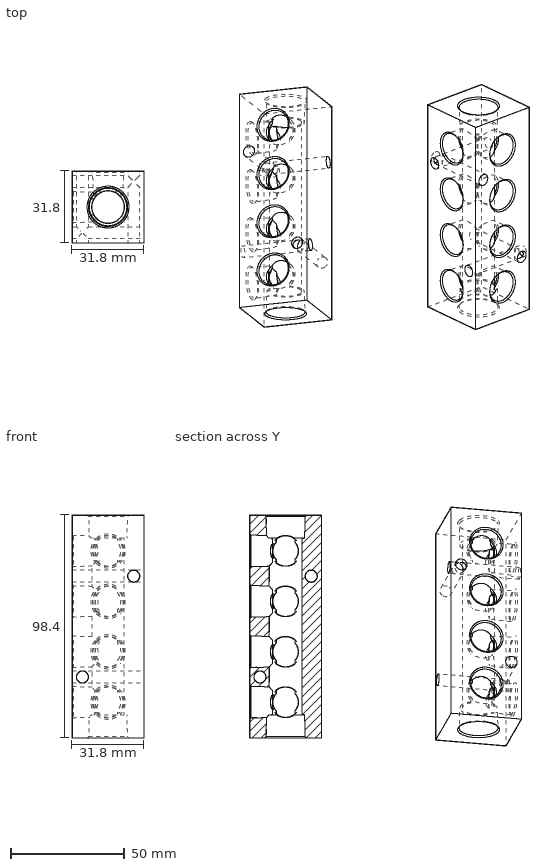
import cadquery as cq

LENGTH = 98.4
WIDTH = 31.8
HALF_LENGTH = LENGTH / 2
HALF_WIDTH = WIDTH / 2

END_PORT_DEPTH = 10.2
SIDE_PORT_DEPTH = 10.0
TAPER_RATIO = 1 / 16
MAIN_BORE_DIAMETER = 14.3
END_MOUTH_DIAMETER = 18.5
END_SOCKET_DIAMETER = 17.1
SIDE_PILOT_DIAMETER = 11.2
SIDE_MOUTH_DIAMETER = 15.2
SIDE_SOCKET_DIAMETER = 13.8

SIDE_PORT_COUNT = 4
SIDE_PORT_PITCH = 22.2
MOUNT_DIAMETER = 5.2
MOUNT_OFFSET = 11.3


def pipe_port(mouth_diameter, socket_diameter, depth):
    """Port cutter with its mouth at the origin, running down along -Z."""
    mouth_radius = mouth_diameter / 2
    socket_radius = socket_diameter / 2
    chamfer = mouth_radius - socket_radius
    floor_radius = socket_radius - (depth - chamfer) * TAPER_RATIO / 2
    profile = (
        cq.Workplane("XZ")
        .moveTo(0, 0)
        .lineTo(mouth_radius, 0)
        .lineTo(socket_radius, -chamfer)
        .lineTo(floor_radius, -depth)
        .lineTo(0, -depth)
        .close()
    )
    return profile.revolve(360, (0, 0, 0), (0, 1, 0))


def main_passage():
    """Bore through the full length with a pipe port at each end."""
    bore = cq.Workplane("XY").circle(MAIN_BORE_DIAMETER / 2).extrude(HALF_LENGTH, both=True)
    top_port = pipe_port(END_MOUTH_DIAMETER, END_SOCKET_DIAMETER, END_PORT_DEPTH)
    top_port = top_port.translate((0, 0, HALF_LENGTH))
    bottom_port = top_port.mirror("XY")
    return bore.union(top_port).union(bottom_port)


def side_port_pair(height):
    """Pipe ports in the -X and +Y faces whose pilot holes open into the main bore."""
    pilot = cq.Workplane("XY").circle(SIDE_PILOT_DIAMETER / 2).extrude(-HALF_WIDTH)
    port = pipe_port(SIDE_MOUTH_DIAMETER, SIDE_SOCKET_DIAMETER, SIDE_PORT_DEPTH).union(pilot)
    left_port = port.rotate((0, 0, 0), (0, 1, 0), -90).translate((-HALF_WIDTH, 0, height))
    back_port = left_port.rotate((0, 0, 0), (0, 0, 1), -90)
    return left_port.union(back_port)


def mounting_hole(plane, offset, height):
    """Through hole across the block, normal to the given plane."""
    hole = cq.Workplane(plane).circle(MOUNT_DIAMETER / 2).extrude(HALF_WIDTH, both=True)
    if plane == "XZ":
        return hole.translate((offset, 0, height))
    return hole.translate((0, offset, height))


result = cq.Workplane("XY").box(WIDTH, WIDTH, LENGTH)
result = result.cut(main_passage())

for index in range(SIDE_PORT_COUNT):
    port_height = (index - (SIDE_PORT_COUNT - 1) / 2) * SIDE_PORT_PITCH
    result = result.cut(side_port_pair(port_height))

for side in (1, -1):
    for hole_plane in ("XZ", "YZ"):
        result = result.cut(mounting_hole(hole_plane, side * MOUNT_OFFSET, side * SIDE_PORT_PITCH))